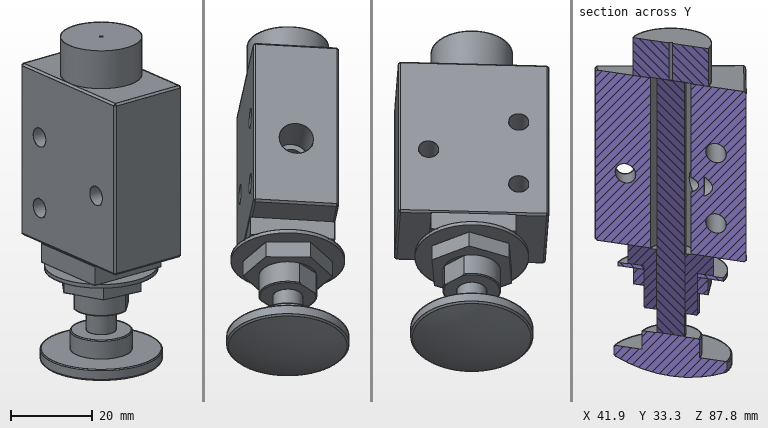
import cadquery as cq
import math

KNOB_RIM_BOTTOM = 3.1
KNOB_RIM_TOP = 6.1
KNOB_TOP = 11.0
NECK_BOTTOM = 17.0
NUT_BOTTOM = 22.8
WASHER_BOTTOM = 27.1
FLANGE_BOTTOM = 28.0
HOUSING_BOTTOM = 32.9
HOUSING_TOP = 77.9
CAP_TOP = 87.85

HOUSING_TURN = 22.5

HOUSING_WIDTH = 37.0
HOUSING_DEPTH = 21.1
HOUSING_CHAMFER = 0.5
BORE_RADIUS = 5.4
PORT_Z = 51.3
PORT_RADIUS = 4.2
PORT_DEPTH = 10.3
PASSAGE_RADIUS = 2.8
MOUNT_HOLE_RADIUS = 2.5
MOUNT_HOLE_OFFSET = 11.1
MOUNT_HOLE_PITCH = 18.5
SINGLE_HOLE_Z = 51.7
MOUNT_HOLES = [
    (-MOUNT_HOLE_OFFSET, PORT_Z + MOUNT_HOLE_PITCH / 2),
    (-MOUNT_HOLE_OFFSET, PORT_Z - MOUNT_HOLE_PITCH / 2),
    (MOUNT_HOLE_OFFSET, SINGLE_HOLE_Z),
]

CAP_RADIUS = 10.0
VENT_RADIUS = 0.4

FLANGE_SIDE = 20.9
NECK_RADIUS = 7.1
NECK_CHAMFER = 0.3
NECK_FLAT_DISTANCE = 6.3
NECK_FLAT_TURN = 45

WASHER_RADIUS = 14.0
NUT_ACROSS_FLATS = 19.0
NUT_CORNER_TURN = 46.7

ROD_RADIUS = 3.7
HUB_RADIUS = 7.6
HUB_CHAMFER = 0.3
RIM_RADIUS = 15.0
RIM_TOP_CHAMFER = 0.3
RIM_BOTTOM_CHAMFER = 0.4


def cylinder(radius, bottom, top):
    """Cylinder on the Z axis between two heights."""
    return cq.Workplane("XY").workplane(offset=bottom).circle(radius).extrude(top - bottom)


def turned(body, angle):
    """The body turned about the Z axis."""
    return body.rotate((0, 0, 0), (0, 0, 1), angle)


def make_housing():
    height = HOUSING_TOP - HOUSING_BOTTOM
    block = (
        cq.Workplane("XY")
        .workplane(offset=HOUSING_BOTTOM)
        .rect(HOUSING_WIDTH, HOUSING_DEPTH)
        .extrude(height)
        .edges()
        .chamfer(HOUSING_CHAMFER)
    )
    bore = cylinder(BORE_RADIUS, HOUSING_BOTTOM, HOUSING_TOP)

    port_face = cq.Workplane("YZ").workplane(offset=-HOUSING_WIDTH / 2).center(0, PORT_Z)
    port = port_face.circle(PORT_RADIUS).extrude(PORT_DEPTH)
    passage = port_face.circle(PASSAGE_RADIUS).extrude(HOUSING_WIDTH / 2)

    mount_holes = (
        cq.Workplane("XZ")
        .pushPoints(MOUNT_HOLES)
        .circle(MOUNT_HOLE_RADIUS)
        .extrude(HOUSING_DEPTH / 2, both=True)
    )
    housing = block.cut(bore).cut(port).cut(passage).cut(mount_holes)
    return turned(housing, HOUSING_TURN)


def make_cap():
    vent = cylinder(VENT_RADIUS, HOUSING_TOP, CAP_TOP)
    return cylinder(CAP_RADIUS, HOUSING_TOP, CAP_TOP).cut(vent)


def make_bushing():
    flange = (
        cq.Workplane("XY")
        .workplane(offset=FLANGE_BOTTOM)
        .rect(FLANGE_SIDE, FLANGE_SIDE)
        .extrude(HOUSING_BOTTOM - FLANGE_BOTTOM)
    )
    neck = cylinder(NECK_RADIUS, NECK_BOTTOM, FLANGE_BOTTOM).faces("<Z").chamfer(NECK_CHAMFER)

    between_flats = (
        cq.Workplane("XY")
        .workplane(offset=NECK_BOTTOM)
        .rect(2 * NECK_FLAT_DISTANCE, 2 * NECK_RADIUS)
        .extrude(NUT_BOTTOM - NECK_BOTTOM)
    )
    flat_zone = turned(between_flats, NECK_FLAT_TURN)
    neck = neck.intersect(flat_zone.union(cylinder(NECK_RADIUS, NUT_BOTTOM, FLANGE_BOTTOM)))

    rod_hole = cylinder(ROD_RADIUS, NECK_BOTTOM, HOUSING_BOTTOM)
    return turned(flange.union(neck).cut(rod_hole), HOUSING_TURN)


def make_washer():
    neck_hole = cylinder(NECK_RADIUS, WASHER_BOTTOM, FLANGE_BOTTOM)
    return cylinder(WASHER_RADIUS, WASHER_BOTTOM, FLANGE_BOTTOM).cut(neck_hole)


def make_nut():
    across_corners = NUT_ACROSS_FLATS / math.cos(math.radians(30))
    hexagon = (
        cq.Workplane("XY")
        .workplane(offset=NUT_BOTTOM)
        .polygon(6, across_corners)
        .extrude(WASHER_BOTTOM - NUT_BOTTOM)
    )
    neck_hole = cylinder(NECK_RADIUS, NUT_BOTTOM, WASHER_BOTTOM)
    return turned(hexagon.cut(neck_hole), NUT_CORNER_TURN)


def make_rod():
    return cylinder(ROD_RADIUS, KNOB_TOP, HOUSING_TOP)


def make_knob():
    dome_edge = RIM_RADIUS - RIM_BOTTOM_CHAMFER
    dome_radius = (dome_edge**2 + KNOB_RIM_BOTTOM**2) / (2 * KNOB_RIM_BOTTOM)
    halfway = dome_edge / 2
    halfway_z = dome_radius - math.sqrt(dome_radius**2 - halfway**2)
    profile = (
        cq.Workplane("XZ")
        .moveTo(0, 0)
        .threePointArc((halfway, halfway_z), (dome_edge, KNOB_RIM_BOTTOM))
        .lineTo(RIM_RADIUS, KNOB_RIM_BOTTOM + RIM_BOTTOM_CHAMFER)
        .lineTo(RIM_RADIUS, KNOB_RIM_TOP - RIM_TOP_CHAMFER)
        .lineTo(RIM_RADIUS - RIM_TOP_CHAMFER, KNOB_RIM_TOP)
        .lineTo(HUB_RADIUS, KNOB_RIM_TOP)
        .lineTo(HUB_RADIUS, KNOB_TOP - HUB_CHAMFER)
        .lineTo(HUB_RADIUS - HUB_CHAMFER, KNOB_TOP)
        .lineTo(0, KNOB_TOP)
        .close()
    )
    return profile.revolve(360, (0, 0, 0), (0, 1, 0))


housing = make_housing()
cap = make_cap()
bushing = make_bushing()
washer = make_washer()
nut = make_nut()
rod = make_rod()
knob = make_knob()

result = cq.Compound.makeCompound(
    [housing.val(), cap.val(), bushing.val(), washer.val(), nut.val(), rod.val(), knob.val()]
)